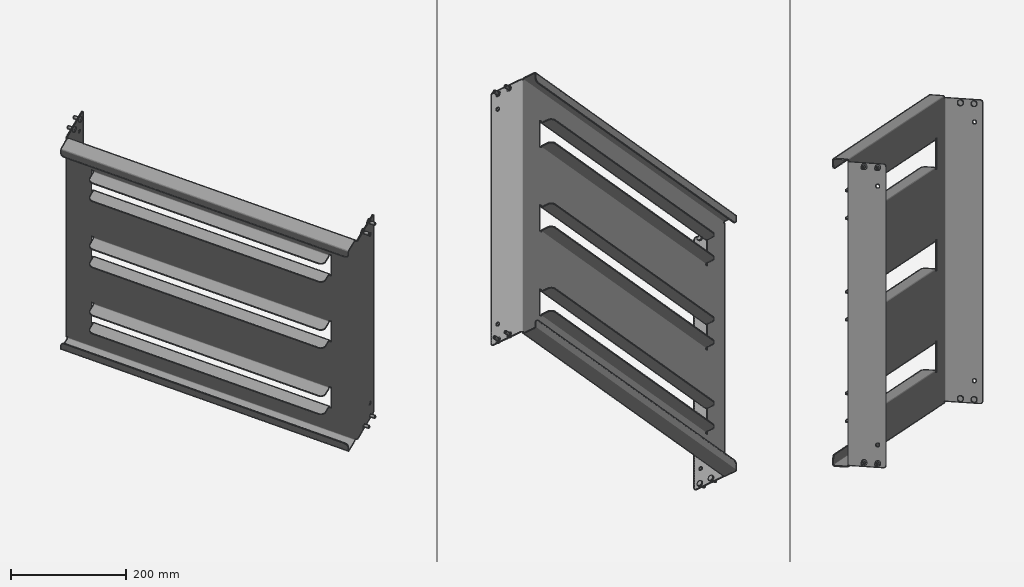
import cadquery as cq
import math

overall_x = 577.0
overall_y = 98.0
overall_z = 547.0
sheet = 2.0
inner_bend = sheet
outer_bend = inner_bend + sheet
front_y = -overall_y / 2
back_y = overall_y / 2

panel_width = 557.5
flange_depth = 30.0
panel_back_y = front_y + flange_depth
panel_front_y = panel_back_y - sheet
flange_length = panel_width - 2 * outer_bend
wall_height = overall_z - 2 * outer_bend
wall_corner = 4.5
lip_height = 19.5
lip_corner = 8.0

slot_count = 3
slot_pitch = 180.0
slot_length = 458.0
tab_opening = 47.5
slot_height = tab_opening + 2 * outer_bend
tab_length = 450.0
tab_depth = 23.0
tab_corner = 9.0

stud_diameter = 6.0
stud_chamfer = 1.45
head_diameter = 10.5
head_thickness = 3.0
stud_y = 34.0
stud_pitch = 25.0
stud_z = 262.5
hole_diameter = 7.0
hole_z = 229.5

wall_inner_x = panel_width / 2 - sheet
stud_places = [(y, z) for y in (stud_y, stud_y - stud_pitch) for z in (stud_z, -stud_z)]
hole_places = [(stud_y, z) for z in (hole_z, -hole_z)]


def arc_point(center, radius, degrees):
    """Point of an arc, at an angle from the first axis of its sketch plane."""
    angle = math.radians(degrees)
    return (center[0] + radius * math.cos(angle), center[1] + radius * math.sin(angle))


def bent_block(width, face_y, height, bend):
    """Block from face_y back to the rear of the part, with its two front upright edges rounded."""
    depth = back_y - face_y
    return (
        cq.Workplane("XY")
        .center(0, face_y + depth / 2)
        .rect(width, depth)
        .extrude(height / 2, both=True)
        .edges("|Z and <Y")
        .fillet(bend)
    )


def make_channel():
    """Flat face and both side walls, with the rear corners of the walls rounded."""
    outside = bent_block(panel_width, panel_front_y, wall_height, outer_bend)
    outside = outside.edges("|X and >Y").fillet(wall_corner)
    inside = bent_block(2 * wall_inner_x, panel_back_y, overall_z, inner_bend)
    return outside.cut(inside)


def make_flange():
    """Top flange: up from the flat face, forwards, then down to a lip with rounded corners."""
    top = overall_z / 2
    bend_z = top - outer_bend
    rear_center = (panel_back_y - outer_bend, bend_z)
    lip_center = (front_y + outer_bend, bend_z)
    flange = (
        cq.Workplane("YZ")
        .moveTo(panel_back_y, bend_z)
        .threePointArc(arc_point(rear_center, outer_bend, 45), (rear_center[0], top))
        .lineTo(lip_center[0], top)
        .threePointArc(arc_point(lip_center, outer_bend, 135), (front_y, bend_z))
        .lineTo(front_y, top - lip_height)
        .lineTo(front_y + sheet, top - lip_height)
        .lineTo(front_y + sheet, bend_z)
        .threePointArc(arc_point(lip_center, inner_bend, 135), (lip_center[0], top - sheet))
        .lineTo(rear_center[0], top - sheet)
        .threePointArc(arc_point(rear_center, inner_bend, 45), (panel_front_y, bend_z))
        .close()
        .extrude(flange_length / 2, both=True)
    )
    return flange.faces("<Z").edges("|Y").fillet(lip_corner)


def make_tab():
    """Tab bent forwards from the upper edge of a slot centred on Z = 0, with rounded tip corners."""
    inner_z = tab_opening / 2
    edge_z = slot_height / 2
    tip_y = panel_front_y - tab_depth
    center = (panel_back_y - outer_bend, edge_z)
    return (
        cq.Workplane("YZ")
        .moveTo(panel_back_y, edge_z)
        .threePointArc(arc_point(center, outer_bend, -45), (center[0], inner_z))
        .lineTo(tip_y, inner_z)
        .lineTo(tip_y, inner_z + sheet)
        .lineTo(center[0], inner_z + sheet)
        .threePointArc(arc_point(center, inner_bend, -45), (panel_front_y, edge_z))
        .close()
        .extrude(tab_length / 2, both=True)
        .edges("|Z and <Y")
        .fillet(tab_corner)
    )


def wall_bores(diameter, places):
    """Cylinders along X through both side walls, at (y, z) places."""
    return (
        cq.Workplane("YZ")
        .pushPoints(places)
        .circle(diameter / 2)
        .extrude(overall_x / 2, both=True)
    )


def make_panel():
    """The whole sheet-metal panel as one solid."""
    flange = make_flange()
    body = make_channel().union(flange).union(flange.mirror("XY"))

    slot = cq.Workplane("XY").box(slot_length, 2 * sheet, slot_height)
    slot = slot.translate((0, (panel_front_y + panel_back_y) / 2, 0))
    upper_tab = make_tab()
    lower_tab = upper_tab.mirror("XY")
    for i in range(slot_count):
        place = (0, 0, (i - (slot_count - 1) / 2) * slot_pitch)
        body = body.cut(slot.translate(place))
        body = body.union(upper_tab.translate(place))
        body = body.union(lower_tab.translate(place))

    body = body.cut(wall_bores(stud_diameter, stud_places))
    return body.cut(wall_bores(hole_diameter, hole_places))


def make_stud():
    """Stud of the +X wall, on the X axis: head on the wall's inner face, shank through the wall."""
    wall_face = cq.Workplane("YZ", origin=(wall_inner_x, 0, 0))
    head = wall_face.circle(head_diameter / 2).extrude(-head_thickness)
    shank = wall_face.circle(stud_diameter / 2).extrude(overall_x / 2 - wall_inner_x)
    shank = shank.faces(">X").chamfer(stud_chamfer)
    return head.union(shank)


panel = make_panel()

right_stud = make_stud()
left_stud = right_stud.mirror("YZ")
studs = []
for stud in (right_stud, left_stud):
    for y, z in stud_places:
        studs.append(stud.translate((0, y, z)).solids().val())

result = cq.Compound.makeCompound([panel.solids().val(), *studs])